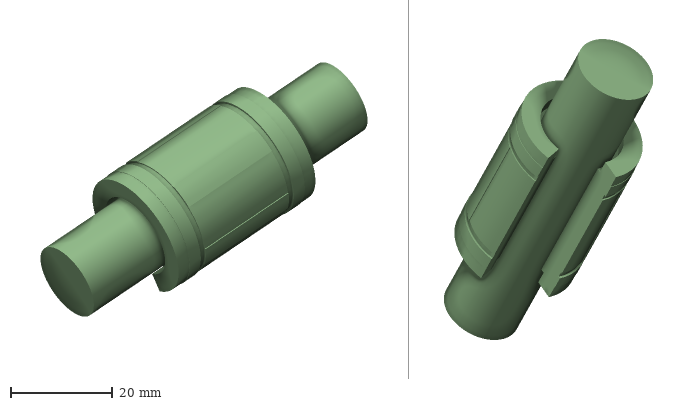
import cadquery as cq
import math

shaft_length = 72
shaft_diameter = 16.0

sleeve_length = 36
sleeve_radius = 12.995
cutter_radius = 1.5 * sleeve_radius
opening_half_angle = math.radians(34)

groove_offset = 5.75
groove_width = 1.3
groove_radius = 12.5

seal_length = 2.9
seal_bore_diameter = 17.7
seal_radius = 12.9

middle_length = sleeve_length - 2 * (groove_offset + groove_width)
recess_radius = 12.8
recesses = [
    (-56, -14),
    (8, 52.5),
    (75, 125),
    (147, 187),
    (208, 236),
]


def cylinder_along_y(diameter, length, start):
    """Solid cylinder on the Y axis, running from start towards +Y."""
    return cq.Workplane("XZ", origin=(0, start, 0)).circle(diameter / 2).extrude(-length)


def ring_along_y(outer_diameter, inner_diameter, length, start):
    """Hollow cylinder on the Y axis, running from start towards +Y."""
    outer = cylinder_along_y(outer_diameter, length, start)
    return outer.cut(cylinder_along_y(inner_diameter, length, start))


def opening_wedge():
    """Wedge with its tip on the axis, opening towards -Z."""
    depth = 2 * sleeve_radius
    half_width = depth * math.tan(opening_half_angle)
    return (
        cq.Workplane("XZ", origin=(0, -sleeve_length / 2, 0))
        .polyline([(0, 0), (-half_width, -depth), (half_width, -depth)])
        .close()
        .extrude(-sleeve_length)
    )


def point_at(radius, angle):
    """Point in the XZ section at an angle in degrees."""
    return radius * math.cos(math.radians(angle)), radius * math.sin(math.radians(angle))


def recess_cutter(first_angle, last_angle):
    """Arc-shaped strip that lowers the middle of the sleeve to recess_radius."""
    middle_angle = (first_angle + last_angle) / 2
    return (
        cq.Workplane("XZ", origin=(0, -middle_length / 2, 0))
        .moveTo(*point_at(recess_radius, first_angle))
        .threePointArc(point_at(recess_radius, middle_angle), point_at(recess_radius, last_angle))
        .lineTo(*point_at(cutter_radius, last_angle))
        .threePointArc(point_at(cutter_radius, middle_angle), point_at(cutter_radius, first_angle))
        .close()
        .extrude(-middle_length)
    )


sleeve_start = -sleeve_length / 2
sleeve_end = sleeve_length / 2
sleeve = cylinder_along_y(2 * sleeve_radius, sleeve_length, sleeve_start)

for start in (sleeve_start + groove_offset, sleeve_end - groove_offset - groove_width):
    sleeve = sleeve.cut(ring_along_y(2 * cutter_radius, 2 * groove_radius, groove_width, start))

for start in (sleeve_start, sleeve_end - seal_length):
    sleeve = sleeve.cut(cylinder_along_y(seal_bore_diameter, seal_length, start))
    sleeve = sleeve.cut(ring_along_y(2 * cutter_radius, 2 * seal_radius, seal_length, start))

for first_angle, last_angle in recesses:
    sleeve = sleeve.cut(recess_cutter(first_angle, last_angle))

sleeve = sleeve.cut(opening_wedge())
shaft = cylinder_along_y(shaft_diameter, shaft_length, -shaft_length / 2)
result = sleeve.union(shaft)